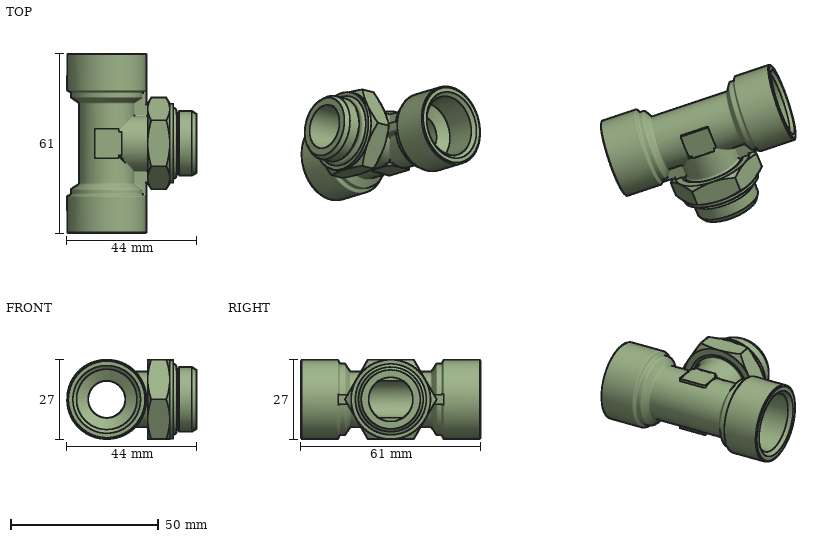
import cadquery as cq
import math


RUN_LENGTH = 61.0
TUBE_DIA = 19.0
SOCKET_DIA = 27.0
SOCKET_START = 17.9
SHOULDER_DIA = 24.4
SHOULDER_START = 15.55
SHOULDER_END = 17.3
SHOULDER_CONE_START = 13.75
SHOULDER_BLEND = 0.4
SOCKET_RIM_WIDTH = 0.5
SOCKET_RIM_LENGTH = 0.3

RUN_BORE_DIA = 12.5
SOCKET_BORE_DIA = 20.5
SOCKET_MOUTH_DIA = 23.0
SOCKET_MOUTH_LENGTH = 1.25
SOCKET_BORE_DEPTH = 12.0
SEAT_HALF_ANGLE = 60.0
BRANCH_BORE_DIA = 15.0

BRANCH_DIA = TUBE_DIA
HEX_START = 13.9
HEX_END = 21.4
HEX_ACROSS_FLATS = 27.0
HEX_CHAMFER_ANGLE = 60.0
RECESS_DIA = 22.4
RECESS_FLOOR_DIA = 20.7
RECESS_FLOOR = 14.2
BRANCH_FOOT_START = 13.45
WASHER_DIA = 26.9
WASHER_END = 22.6
SEAL_DIA = 24.1
SEAL_END = 23.7
GROOVE_DIA = 19.9
GROOVE_END = 24.05
THREAD_DIA = 22.0
THREAD_START = 24.65
THREAD_CHAMFER_START = 28.85
THREAD_TIP_DIA = 20.0
STUD_END = 30.5

WEB_THICKNESS = 3.2
WEB_END = SOCKET_DIA / 2
WEB_HALF_WIDTH = 13.5
WEB_ROUNDING = 0.4
JUNCTION_BLEND = 0.4

PAD_START = -4.0
PAD_END = 5.05
PAD_WIDTH = 10.0
PAD_HEIGHT = 9.6
PAD_CORNER = 0.3
PAD_NOTCH = 1.0


def cylinder(axis_plane, diameter, start, end):
    """Cylinder along the normal of the plane, from start to end."""
    plane = cq.Workplane(axis_plane).workplane(offset=start)
    return plane.circle(diameter / 2).extrude(end - start)


def revolve_x(points):
    """Solid of revolution about X from (x, radius) points."""
    return cq.Workplane("XY").polyline(points).close().revolve(360, (0, 0, 0), (1, 0, 0))


def revolve_y(points):
    """Solid of revolution about Y from (radius, y) points."""
    return cq.Workplane("XY").polyline(points).close().revolve(360, (0, 0, 0), (0, 1, 0))


def both_ends(half):
    """The given +Y shape together with its mirror image at the -Y end."""
    return half.union(half.mirror("XZ"))


def make_tube_and_branch():
    """Crossing cylinders of tube and branch."""
    tube = cq.Workplane("XZ").circle(TUBE_DIA / 2).extrude(SHOULDER_START, both=True)
    branch = cylinder("YZ", BRANCH_DIA, 0, HEX_END)
    return tube.union(branch)


def make_socket():
    """Outer shape of the +Y socket with its conical shoulder."""
    tip = RUN_LENGTH / 2
    tube_radius = TUBE_DIA / 2
    shoulder_radius = SHOULDER_DIA / 2
    socket_radius = SOCKET_DIA / 2
    socket = revolve_y([
        (0, SHOULDER_CONE_START),
        (tube_radius, SHOULDER_CONE_START),
        (shoulder_radius, SHOULDER_START),
        (shoulder_radius, SHOULDER_END),
        (socket_radius, SOCKET_START),
        (socket_radius, tip - SOCKET_RIM_LENGTH),
        (socket_radius - SOCKET_RIM_WIDTH, tip),
        (0, tip),
    ])
    shoulder_zone = cq.selectors.BoxSelector(
        (-SOCKET_DIA, SHOULDER_CONE_START + SHOULDER_BLEND, -SOCKET_DIA),
        (SOCKET_DIA, SOCKET_START + SHOULDER_BLEND, SOCKET_DIA),
        boundingbox=True,
    )
    return socket.edges("%CIRCLE").edges(shoulder_zone).fillet(SHOULDER_BLEND)


def make_socket_bore():
    """Cutter for the +Y socket: mouth chamfer, bore and conical seat."""
    tip = RUN_LENGTH / 2
    bore_radius = SOCKET_BORE_DIA / 2
    bottom = tip - SOCKET_BORE_DEPTH
    seat_length = bore_radius / math.tan(math.radians(SEAT_HALF_ANGLE))
    return revolve_y([
        (0, bottom - seat_length),
        (bore_radius, bottom),
        (bore_radius, tip - SOCKET_MOUTH_LENGTH),
        (SOCKET_MOUTH_DIA / 2, tip),
        (0, tip),
    ])


def make_hexagon():
    """Hexagon with flats on +Z and -Z, corners chamfered on both faces."""
    corner_radius = HEX_ACROSS_FLATS / 2 / math.cos(math.radians(30))
    face_radius = HEX_ACROSS_FLATS / 2
    chamfer_length = (corner_radius - face_radius) / math.tan(math.radians(HEX_CHAMFER_ANGLE))
    hexagon = (
        cq.Workplane("YZ").workplane(offset=HEX_START)
        .polygon(6, 2 * corner_radius).extrude(HEX_END - HEX_START)
    )
    envelope = revolve_x([
        (HEX_START, 0),
        (HEX_START, face_radius),
        (HEX_START + chamfer_length, corner_radius),
        (HEX_END - chamfer_length, corner_radius),
        (HEX_END, face_radius),
        (HEX_END, 0),
    ])
    return hexagon.intersect(envelope)


def make_hexagon_recess():
    """Cutter for the conical recess in the hexagon face."""
    return revolve_x([
        (HEX_START, 0),
        (HEX_START, RECESS_DIA / 2),
        (RECESS_FLOOR, RECESS_FLOOR_DIA / 2),
        (RECESS_FLOOR, 0),
    ])


def make_branch_foot():
    """Ring with a concave rounding where the branch meets the recess floor."""
    radius = RECESS_FLOOR - BRANCH_FOOT_START
    surface = BRANCH_DIA / 2
    return (
        cq.Workplane("XY")
        .moveTo(BRANCH_FOOT_START, surface)
        .radiusArc((RECESS_FLOOR, surface + radius), -radius)
        .lineTo(RECESS_FLOOR, 0)
        .lineTo(BRANCH_FOOT_START, 0)
        .close()
        .revolve(360, (0, 0, 0), (1, 0, 0))
    )


def make_stud():
    """Washer face, seal ring, groove and plain thread body beyond the hexagon."""
    stud = revolve_x([
        (HEX_END, 0),
        (HEX_END, WASHER_DIA / 2),
        (WASHER_END, WASHER_DIA / 2),
        (WASHER_END, GROOVE_DIA / 2),
        (GROOVE_END, GROOVE_DIA / 2),
        (THREAD_START, THREAD_DIA / 2),
        (THREAD_CHAMFER_START, THREAD_DIA / 2),
        (STUD_END, THREAD_TIP_DIA / 2),
        (STUD_END, 0),
    ])
    seal_radius = SEAL_DIA / 2
    seal_width = SEAL_END - WASHER_END
    seal = (
        cq.Workplane("XY")
        .moveTo(WASHER_END, 0)
        .lineTo(WASHER_END, seal_radius)
        .radiusArc((SEAL_END, seal_radius - seal_width), seal_width)
        .lineTo(SEAL_END, 0)
        .close()
        .revolve(360, (0, 0, 0), (1, 0, 0))
    )
    return stud.union(seal)


def make_web():
    """Flat web between the sockets, whose middle part reaches the hexagon."""
    web = (
        cq.Workplane("XY").workplane(offset=-WEB_THICKNESS / 2)
        .moveTo(0, -SOCKET_START)
        .lineTo(WEB_END, -SOCKET_START)
        .lineTo(WEB_END, -WEB_HALF_WIDTH)
        .lineTo(RECESS_FLOOR, -WEB_HALF_WIDTH)
        .lineTo(RECESS_FLOOR, WEB_HALF_WIDTH)
        .lineTo(WEB_END, WEB_HALF_WIDTH)
        .lineTo(WEB_END, SOCKET_START)
        .lineTo(0, SOCKET_START)
        .close()
        .extrude(WEB_THICKNESS)
    )
    outer_edges = cq.selectors.BoxSelector(
        (WEB_END - WEB_ROUNDING, -SOCKET_START, -WEB_THICKNESS),
        (RECESS_FLOOR - WEB_ROUNDING / 4, SOCKET_START, WEB_THICKNESS),
    )
    return web.edges("#Z").edges(outer_edges).fillet(WEB_ROUNDING)


def make_pads():
    """Upright block whose two end faces are the pads, notched at the corners next to the branch."""
    half_width = PAD_WIDTH / 2
    pad = (
        cq.Workplane("XY")
        .moveTo(PAD_START, -half_width)
        .lineTo(PAD_END - PAD_NOTCH, -half_width)
        .lineTo(PAD_END - PAD_NOTCH, PAD_NOTCH - half_width)
        .lineTo(PAD_END, PAD_NOTCH - half_width)
        .lineTo(PAD_END, half_width - PAD_NOTCH)
        .lineTo(PAD_END - PAD_NOTCH, half_width - PAD_NOTCH)
        .lineTo(PAD_END - PAD_NOTCH, half_width)
        .lineTo(PAD_START, half_width)
        .close()
        .extrude(PAD_HEIGHT, both=True)
    )
    return pad.edges("|Z").fillet(PAD_CORNER)


def blend_junctions(body):
    """Round the valleys where tube, branch, web and shoulders meet."""
    margin = 0.1
    branch_valleys = cq.selectors.BoxSelector(
        (BRANCH_DIA / 3, -SOCKET_START, -BRANCH_DIA),
        (WEB_END - WEB_ROUNDING - margin, SOCKET_START, BRANCH_DIA),
    )
    shoulder_feet = cq.selectors.BoxSelector(
        (-TUBE_DIA / 4, -SHOULDER_CONE_START - margin, -margin),
        (0, SHOULDER_CONE_START + margin, margin),
    )
    return body.edges(branch_valleys + shoulder_feet).fillet(JUNCTION_BLEND)


body = make_tube_and_branch().union(both_ends(make_socket())).union(make_web()).union(make_pads())
body = blend_junctions(body)
body = body.union(make_hexagon().cut(make_hexagon_recess())).union(make_branch_foot()).union(make_stud())
body = body.cut(cylinder("XZ", RUN_BORE_DIA, -RUN_LENGTH / 2, RUN_LENGTH / 2))
body = body.cut(cylinder("YZ", BRANCH_BORE_DIA, 0, STUD_END))
result = body.cut(both_ends(make_socket_bore()))